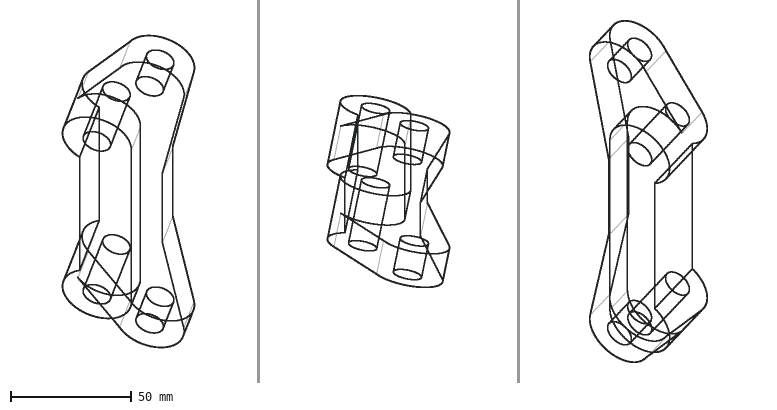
import cadquery as cq
import math

plate_thickness = 15.0
total_thickness = 28.1
lobe_radius = 15.0
hole_diameter = 12.0

inner_hole_x = 15.0
inner_hole_z = 50.0
outer_hole_x = 34.0
outer_hole_z = 77.5

web_left_x = 7.5
web_right_x = inner_hole_x + lobe_radius
waist_x = 39.5
waist_half_height = 22.5

left_edge_rise = 7.1


def tangent_point(start_x, start_z, center_x, center_z):
    """Point where a line from the start touches a lobe circle, counterclockwise of the start."""
    reach = math.hypot(center_x - start_x, center_z - start_z)
    toward_start = math.atan2(start_z - center_z, start_x - center_x)
    touch_angle = toward_start + math.acos(lobe_radius / reach)
    return (
        center_x + lobe_radius * math.cos(touch_angle),
        center_z + lobe_radius * math.sin(touch_angle),
    )


def cylinder(center_x, center_z, radius, depth):
    """Cylinder standing on the back face and reaching toward -Y."""
    return cq.Workplane("XZ").center(center_x, center_z).circle(radius).extrude(depth)


def upper_arm():
    """Upper half of the plate, with its rounded outer lobe and full-thickness inner boss."""
    left_edge_top = (
        outer_hole_x - math.sqrt(lobe_radius**2 - left_edge_rise**2),
        outer_hole_z + left_edge_rise,
    )
    left_edge_bottom = tangent_point(*left_edge_top, inner_hole_x, inner_hole_z)
    right_edge_bottom = (waist_x, waist_half_height)
    right_edge_top = tangent_point(*right_edge_bottom, outer_hole_x, outer_hole_z)
    outline = [
        (inner_hole_x, 0),
        (inner_hole_x, inner_hole_z),
        left_edge_bottom,
        left_edge_top,
        (outer_hole_x, outer_hole_z),
        right_edge_top,
        right_edge_bottom,
        (waist_x, 0),
    ]
    plate = cq.Workplane("XZ").polyline(outline).close().extrude(plate_thickness)
    lobe = cylinder(outer_hole_x, outer_hole_z, lobe_radius, plate_thickness)
    boss = cylinder(inner_hole_x, inner_hole_z, lobe_radius, total_thickness)
    return plate.union(lobe).union(boss)


def upper_web():
    """Upper half of the full-thickness bar that joins the two inner bosses."""
    return (
        cq.Workplane("XZ")
        .moveTo(web_left_x, 0)
        .lineTo(web_right_x, 0)
        .lineTo(web_right_x, inner_hole_z)
        .lineTo(web_left_x, inner_hole_z)
        .close()
        .extrude(total_thickness)
    )


def drill_holes(body):
    """Cut the through holes of the upper half."""
    for hole_x, hole_z in ((inner_hole_x, inner_hole_z), (outer_hole_x, outer_hole_z)):
        body = body.cut(cylinder(hole_x, hole_z, hole_diameter / 2, total_thickness))
    return body


upper_half = drill_holes(upper_arm().union(upper_web()))
lower_half = upper_half.mirror("XY")
result = upper_half.union(lower_half).clean()